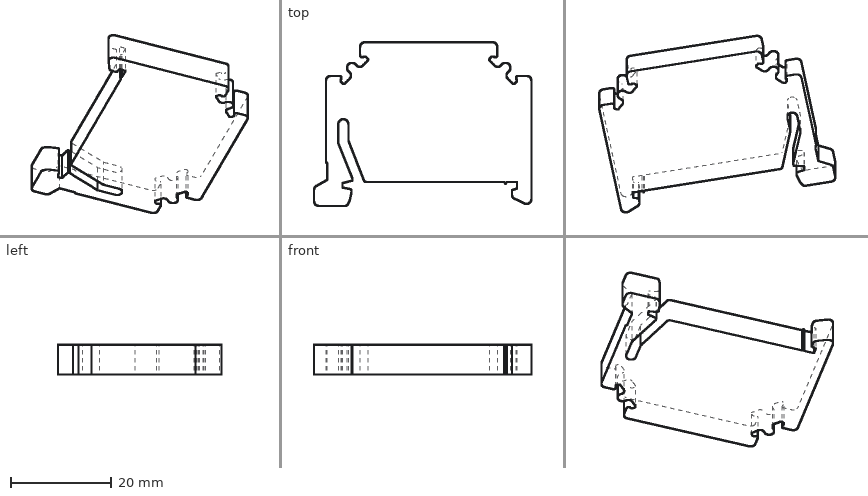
import cadquery as cq
import math

LENGTH = 43.4
HEIGHT = 32.7
THICKNESS = 6.0

BODY_LEFT = 2.38
BODY_CENTRE = (BODY_LEFT + LENGTH) / 2
UNDERSIDE = 4.76
CORNER_RADIUS = 1.0

LOBE_X = 7.58
LOBE_Y = 27.58
LOBE_RADIUS = 1.0
NOTCH_EDGE = 1.6
LIP_DEPTH = 2.05
LIP_END = 2.17
LIP_RADIUS = 0.48
UNDERCUT_DEPTH = 2.22
UNDERCUT_START = 2.35
POCKET_REACH = 3.5
UNDERCUT_END = POCKET_REACH * math.sqrt(2) - UNDERCUT_DEPTH
POCKET_FLOOR = 1.21
VALLEY_RADIUS = 0.85
POCKET_RADIUS = 0.3
BEND_RADIUS = 0.15

STEP_DEPTH = 0.27
STEP_Y = 8.65
STEP_HEIGHT = 0.54
FOOT_SHOULDER_Y = 5.25
FOOT_SIDE_TOP = 3.75
FOOT_CORNER_RADIUS = 1.0
FOOT_SHOULDER_RADIUS = 0.9
FOOT_BOTTOM_END = 6.53
FOOT_HEEL_RADIUS = 0.6
FOOT_FLANK = (7.15, 0.95)
FOOT_FLANK_RADIUS = 3.2
FOOT_NOSE = (7.62, 3.35)
FOOT_NOSE_RADIUS = 0.5
GROOVE_X = 5.72
GROOVE_BOTTOM = 3.7
GROOVE_TOP = 4.56
HOOK_X = 7.69
HOOK_BOTTOM = 5.06
HOOK_TOP = 5.52
SLOT_LEFT = 4.88
SLOT_WIDTH = 1.97
SLOT_TOP = 17.31
SLOT_LEFT_BEND = 12.55
SLOT_RIGHT_BEND = 13.04
SLOT_MOUTH_X = 10.08
SLOT_MOUTH_RADIUS = 0.62

TOOTH_X = 37.95
TOOTH_WIDTH = 0.52
TOOTH_DEPTH = 0.33

CLAW_WALL_X = 40.47
CLAW_TIP_X = 39.47
CLAW_WALL_BOTTOM = 3.5
CLAW_TIP_TOP = 3.2
CLAW_TIP_BOTTOM = 1.7
CLAW_TIP_RADIUS = 0.9
CLAW_RAMP_ANGLE = 25.3
CLAW_HEEL_RADIUS = 1.0

MIN_LINE = 1e-4




def side_step():
    """Two equal tangent arcs that join the foot side to the body side in an S."""
    arc_radius = (STEP_DEPTH**2 + STEP_HEIGHT**2) / (4 * STEP_DEPTH)
    setback = arc_radius * STEP_DEPTH / STEP_HEIGHT
    corner_offset = STEP_HEIGHT / 2 - setback
    return [
        (BODY_LEFT + STEP_DEPTH, STEP_Y - corner_offset, arc_radius),
        (BODY_LEFT, STEP_Y + corner_offset, arc_radius),
    ]


def flexible_foot():
    step_x = BODY_LEFT + STEP_DEPTH
    return [
        (SLOT_LEFT, SLOT_LEFT_BEND, 0),
        (HOOK_X, HOOK_TOP, 0),
        (HOOK_X, HOOK_BOTTOM, 0),
        (GROOVE_X, GROOVE_TOP, 0),
        (GROOVE_X, GROOVE_BOTTOM, 0),
        (*FOOT_NOSE, FOOT_NOSE_RADIUS),
        (*FOOT_FLANK, FOOT_FLANK_RADIUS),
        (FOOT_BOTTOM_END, 0, FOOT_HEEL_RADIUS),
        (0, 0, FOOT_CORNER_RADIUS),
        (0, FOOT_SIDE_TOP, FOOT_SHOULDER_RADIUS),
        (step_x, FOOT_SHOULDER_Y, 0),
        *side_step(),
    ]


def left_notch():
    """Corners from the ear top, around the lobe, to the side of the top block."""
    half = [
        (0, LOBE_RADIUS * math.sqrt(2), LOBE_RADIUS),
        crossing(LOBE_RADIUS, VALLEY_RADIUS),
        crossing(POCKET_REACH, POCKET_RADIUS),
        (UNDERCUT_END, UNDERCUT_DEPTH, BEND_RADIUS),
        (UNDERCUT_START, UNDERCUT_DEPTH, BEND_RADIUS),
        (LIP_END, LIP_DEPTH, BEND_RADIUS),
        (NOTCH_EDGE, LIP_DEPTH, LIP_RADIUS),
    ]
    reflected = [(-dy, -dx, radius) for dx, dy, radius in reversed(half)]
    return [(LOBE_X + dx, LOBE_Y + dy, radius) for dx, dy, radius in reflected + half]


def crossing(along, radius):
    """Corner where the pocket floor meets the 45 degree wall at the given distance."""
    dx = (along + POCKET_FLOOR) / math.sqrt(2)
    dy = (along - POCKET_FLOOR) / math.sqrt(2)
    return (dx, dy, radius)


def top_left():
    ear_top = LOBE_Y - NOTCH_EDGE
    block_left = LOBE_X + NOTCH_EDGE
    return [
        (BODY_LEFT, ear_top, CORNER_RADIUS),
        *left_notch(),
        (block_left, HEIGHT, CORNER_RADIUS),
    ]


def top_right():
    return [(2 * BODY_CENTRE - x, y, radius) for x, y, radius in reversed(top_left())]


def fixed_foot():
    ramp_drop = (LENGTH - CLAW_TIP_X) * math.tan(math.radians(CLAW_RAMP_ANGLE))
    return [
        (LENGTH, CLAW_TIP_BOTTOM - ramp_drop, CLAW_HEEL_RADIUS),
        (CLAW_TIP_X, CLAW_TIP_BOTTOM, CLAW_TIP_RADIUS),
        (CLAW_TIP_X, CLAW_TIP_TOP, 0),
        (CLAW_WALL_X, CLAW_WALL_BOTTOM, 0),
        (CLAW_WALL_X, UNDERSIDE, 0),
    ]


def underside_tooth():
    return [
        (TOOTH_X + TOOTH_WIDTH, UNDERSIDE, 0),
        (TOOTH_X + TOOTH_WIDTH / 2, UNDERSIDE - TOOTH_DEPTH, 0),
        (TOOTH_X, UNDERSIDE, 0),
    ]


def relief_slot():
    slot_right = SLOT_LEFT + SLOT_WIDTH
    return [
        (SLOT_MOUTH_X, UNDERSIDE, SLOT_MOUTH_RADIUS),
        (slot_right, SLOT_RIGHT_BEND, 0),
        (slot_right, SLOT_TOP, SLOT_WIDTH / 2),
        (SLOT_LEFT, SLOT_TOP, SLOT_WIDTH / 2),
    ]


def round_corner(before, corner, after):
    """Start, middle and end of the arc that rounds a corner, or the bare corner."""
    point = cq.Vector(corner[0], corner[1])
    radius = corner[2]
    if radius == 0:
        return [point]
    to_before = (cq.Vector(before[0], before[1]) - point).normalized()
    to_after = (cq.Vector(after[0], after[1]) - point).normalized()
    half_angle = to_before.getAngle(to_after) / 2
    setback = radius / math.tan(half_angle)
    bisector = (to_before + to_after).normalized()
    middle = point + bisector * (radius / math.sin(half_angle) - radius)
    return [point + to_before * setback, middle, point + to_after * setback]


def rounded_outline(corners):
    """Closed wire of straight sides and tangent arcs through the corners."""
    count = len(corners)
    pieces = [
        round_corner(corners[i - 1], corners[i], corners[(i + 1) % count])
        for i in range(count)
    ]
    edges = []
    for i, piece in enumerate(pieces):
        line_start = pieces[i - 1][-1]
        if (piece[0] - line_start).Length > MIN_LINE:
            edges.append(cq.Edge.makeLine(line_start, piece[0]))
        if len(piece) > 1:
            edges.append(cq.Edge.makeThreePointArc(*piece))
    return cq.Wire.assembleEdges(edges)


outline = rounded_outline(
    flexible_foot() + top_left() + top_right() + fixed_foot() + underside_tooth() + relief_slot()
)
result = cq.Workplane("XY").add(outline).toPending().extrude(THICKNESS)